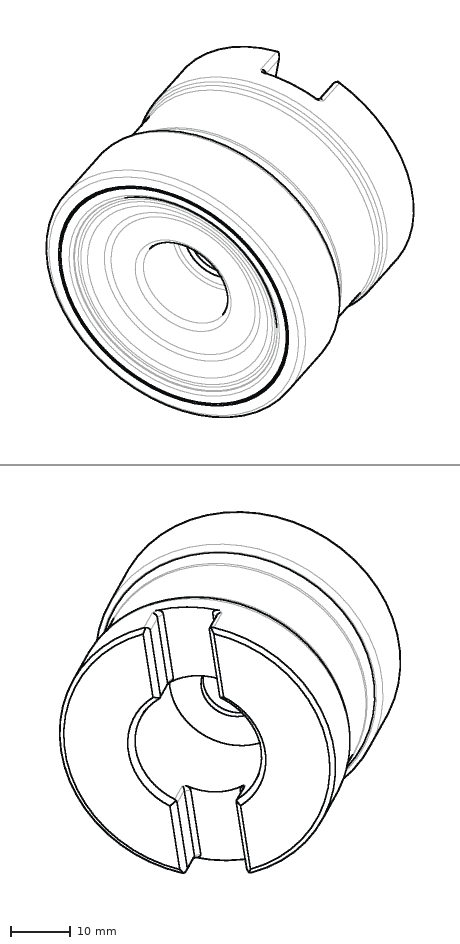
import cadquery as cq
import math


ring_diameter = 49.95
ring_width = 13.25
ring_bore = 44.0
ring_front_round = 0.85
ring_back_round = 0.9
seam_chamfer = 0.2

hub_length = 40.0
neck_diameter = 47.6
neck_end = 16.15
waist_diameter = 46.2
waist_front_round = 2.0
drum_diameter = 48.0
drum_start = 29.8
shoulder_angle = 30
shoulder_round = 2.0
rim_chamfer_length = 0.5
rim_chamfer_height = 0.85

lip_diameter = 39.8
lip_depth = 0.2
lip_round = 0.9
ledge_diameter = 38.75
ledge_depth = 0.95
ledge_round = 0.65
dish_cone_diameter = 35.8
floor_diameter = 29.05
floor_depth = 3.2
dish_round = 2.0

front_bore = 16.5
front_bore_end = 14.6
front_bore_mouth_round = 1.0
front_bore_end_round = 0.5
through_hole = 11.0
through_hole_chamfer = 0.6
web_thickness = 2.0
back_bore = 22.0
back_bore_chamfer = 1.0

slot_width = 10.4
slot_depth = 6.5
slot_corner_chamfer = 0.85
slot_mouth_chamfer = 1.0
slot_edge_round = 0.75
slot_roll = 7.8

pitch = 1.6
yaw = 2.3

TOLERANCE = 0.005


def turned(outline):
    """Turn a closed outline of (radius, y) points about the Y axis."""
    return cq.Workplane("XY").polyline(outline).close().revolve(360, (0, 0, 0), (0, 1, 0))


def circles(body, diameter, y):
    """The body with its circular edges of this diameter, at this place on the axis, selected."""
    return body.newObject([
        edge for edge in body.edges("%CIRCLE").vals()
        if abs(edge.radius() - diameter / 2) < TOLERANCE and abs(edge.Center().y - y) < TOLERANCE
    ])


def make_ring():
    ring = turned([
        (ring_bore / 2, 0),
        (ring_diameter / 2, 0),
        (ring_diameter / 2, ring_width),
        (ring_bore / 2, ring_width),
    ])
    ring = circles(ring, ring_diameter, 0).fillet(ring_front_round)
    ring = circles(ring, ring_diameter, ring_width).fillet(ring_back_round)
    return circles(ring, ring_bore, 0).chamfer(seam_chamfer)


def make_turned_hub():
    """The hub without its slot; the ring seats on the step behind its front face."""
    shoulder_height = (drum_diameter - waist_diameter) / 2
    waist_end = drum_start - shoulder_height / math.tan(math.radians(shoulder_angle))
    web_back = front_bore_end + web_thickness
    hub = turned([
        (through_hole / 2, front_bore_end),
        (front_bore / 2, front_bore_end),
        (front_bore / 2, floor_depth),
        (floor_diameter / 2, floor_depth),
        (dish_cone_diameter / 2, ledge_depth),
        (ledge_diameter / 2, ledge_depth),
        (lip_diameter / 2, lip_depth),
        (ring_bore / 2, 0),
        (ring_bore / 2, ring_width),
        (neck_diameter / 2, ring_width),
        (waist_diameter / 2, neck_end),
        (waist_diameter / 2, waist_end),
        (drum_diameter / 2, drum_start),
        (drum_diameter / 2, hub_length),
        (back_bore / 2, hub_length),
        (back_bore / 2, web_back),
        (through_hole / 2, web_back),
    ])
    hub = circles(hub, ring_bore, 0).chamfer(seam_chamfer)
    hub = circles(hub, lip_diameter, lip_depth).fillet(lip_round)
    hub = circles(hub, ledge_diameter, ledge_depth).fillet(ledge_round)
    hub = circles(hub, dish_cone_diameter, ledge_depth).fillet(dish_round)
    hub = circles(hub, floor_diameter, floor_depth).fillet(dish_round)
    hub = circles(hub, front_bore, floor_depth).fillet(front_bore_mouth_round)
    hub = circles(hub, front_bore, front_bore_end).fillet(front_bore_end_round)
    hub = circles(hub, through_hole, front_bore_end).chamfer(through_hole_chamfer)
    hub = circles(hub, waist_diameter, neck_end).fillet(waist_front_round)
    hub = circles(hub, waist_diameter, waist_end).fillet(shoulder_round)
    return circles(hub, drum_diameter, drum_start).fillet(shoulder_round)


def cut_slot(hub):
    """Cut the slot right across the back, chamfered at floor and mouth, and round its wall edges."""
    half = slot_width / 2
    floor = hub_length - slot_depth
    mouth_start = hub_length - slot_mouth_chamfer
    right_side = [
        (half - slot_corner_chamfer, floor),
        (half, floor + slot_corner_chamfer),
        (half, mouth_start),
        (half + slot_mouth_chamfer, hub_length),
    ]
    left_side = [(-x, y) for x, y in reversed(right_side)]
    slot = cq.Workplane("XY").polyline(right_side + left_side).close().extrude(drum_diameter, both=True)
    hub = hub.cut(slot)

    walls = cq.selectors.BoxSelector(
        (-half - TOLERANCE, floor - TOLERANCE, -drum_diameter),
        (half + TOLERANCE, mouth_start + TOLERANCE, drum_diameter),
        boundingbox=True,
    )
    wall_edges = [
        edge for edge in hub.edges(walls).vals()
        if edge.BoundingBox().ylen > slot_corner_chamfer / 2
        and edge.BoundingBox().zlen < slot_width / 4
    ]
    return hub.newObject(wall_edges).fillet(slot_edge_round)


def chamfer_back_rim(hub, diameter, length, height):
    """Bevel a rim of the back face with a cone; height is negative for an outside rim."""
    radius = diameter / 2
    return hub.cut(turned([
        (radius + height, hub_length),
        (radius - height, hub_length + length),
        (radius - height, hub_length - 2 * length),
    ]))


def make_hub():
    hub = cut_slot(make_turned_hub())
    hub = chamfer_back_rim(hub, drum_diameter, rim_chamfer_length, -rim_chamfer_height)
    return chamfer_back_rim(hub, back_bore, back_bore_chamfer, back_bore_chamfer)


def placed(body):
    """Roll the body about its own axis, then tilt that axis away from Y."""
    return (
        body.rotate((0, 0, 0), (0, 1, 0), slot_roll)
        .rotate((0, 0, 0), (1, 0, 0), -pitch)
        .rotate((0, 0, 0), (0, 0, 1), -yaw)
    )


ring = placed(make_ring())
hub = placed(make_hub())
result = cq.Compound.makeCompound([ring.val(), hub.val()])